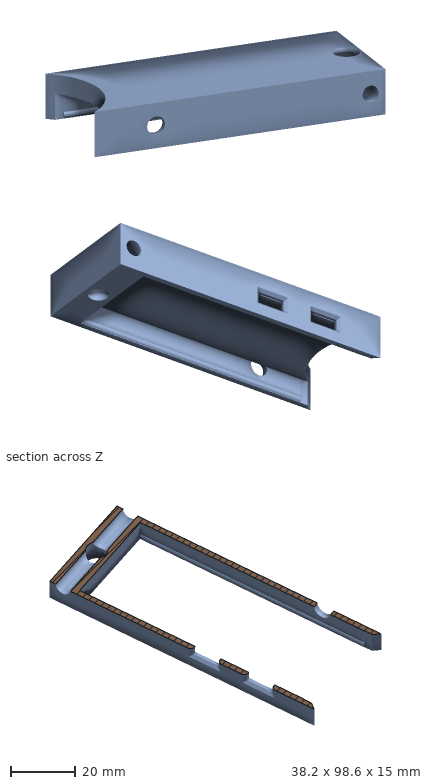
import cadquery as cq
import math

width = 38.2
length = 98.63
height = 15.0
back_y = length / 2
front_y = -length / 2

front_arc_radius = 23.4
front_arc_depth = front_arc_radius - math.sqrt(front_arc_radius**2 - (width / 2) ** 2)

side_wall = 2.0
roof_thickness = 6.5
back_block_length = 10.0
cavity_width = width - 2 * side_wall
cavity_height = height - roof_thickness
cavity_back_y = back_y - back_block_length

relief_clearance = 0.1
relief_length = 5.2

back_hole_y = back_y - back_block_length / 2
mid_z = height / 2
cross_hole_diameter = 5.4
vertical_hole_diameter = 6.75
countersink_width = 1.0

window_length = 9.5
window_height = 3.9
window_chamfer = 1.0
window_z = 6.8
window_from_front = 20.88
window_spacing = 20.0

port_diameter = 6.0

ridge_depth = 0.6
ridge_radius = 1.2
ridge_z = 1.2
ridge_front_y = front_y + relief_length
ridge_back_y = cavity_back_y


def make_body():
    """Block with a concave arc cut across its front end."""
    half_width = width / 2
    return (
        cq.Workplane("XY")
        .moveTo(-half_width, front_y)
        .threePointArc((0, front_y + front_arc_depth), (half_width, front_y))
        .lineTo(half_width, back_y)
        .lineTo(-half_width, back_y)
        .close()
        .extrude(height)
    )


def make_cavity():
    """Main cavity together with its slightly larger front end."""
    corner_centering = (True, False, False)
    main = cq.Workplane("XY", origin=(0, front_y, 0)).box(
        cavity_width, cavity_back_y - front_y, cavity_height, centered=corner_centering
    )
    relief = cq.Workplane("XY", origin=(0, front_y, 0)).box(
        cavity_width + 2 * relief_clearance,
        relief_length,
        cavity_height + relief_clearance,
        centered=corner_centering,
    )
    return main.union(relief)


def make_cross_hole():
    """Hole along X through the back block."""
    return (
        cq.Workplane("YZ", origin=(-width / 2, back_hole_y, mid_z))
        .circle(cross_hole_diameter / 2)
        .extrude(width)
    )


def make_vertical_hole():
    """Vertical hole with a 45 degree countersink at the top."""
    radius = vertical_hole_diameter / 2
    bore = cq.Workplane("XY", origin=(0, back_hole_y, 0)).circle(radius).extrude(height)
    countersink = (
        cq.Workplane("XY", origin=(0, back_hole_y, height - countersink_width))
        .circle(radius)
        .workplane(offset=countersink_width)
        .circle(radius + countersink_width)
        .loft()
    )
    return bore.union(countersink)


def make_window(y):
    """Rectangular window through the -X wall with a 45 degree chamfer outside."""
    outer_length = window_length + 2 * window_chamfer
    outer_height = window_height + 2 * window_chamfer
    outside = cq.Workplane("YZ", origin=(-width / 2, y, window_z))
    opening = outside.rect(window_length, window_height).extrude(side_wall)
    chamfer = (
        outside.rect(outer_length, outer_height)
        .workplane(offset=window_chamfer)
        .rect(window_length, window_height)
        .loft(ruled=True)
    )
    return opening.union(chamfer)


def make_port(y):
    """Round hole through the +X wall."""
    return (
        cq.Workplane("YZ", origin=(width / 2 - side_wall, y, mid_z))
        .circle(port_diameter / 2)
        .extrude(side_wall)
    )


def make_ridge(side):
    """Rounded ridge on the inner face of the wall at side = -1 or +1."""
    center_x = side * (cavity_width / 2 - ridge_depth + ridge_radius)
    ridge_length = ridge_back_y - ridge_front_y
    return (
        cq.Workplane("XZ", origin=(center_x, ridge_back_y, ridge_z))
        .circle(ridge_radius)
        .extrude(ridge_length)
    )


front_window_y = front_y + window_from_front
back_window_y = front_window_y + window_spacing

result = make_body().cut(make_cavity()).cut(make_cross_hole()).cut(make_vertical_hole())
for window_y in (front_window_y, back_window_y):
    result = result.cut(make_window(window_y))
result = result.cut(make_port(front_window_y))
for wall_side in (-1, 1):
    result = result.union(make_ridge(wall_side))